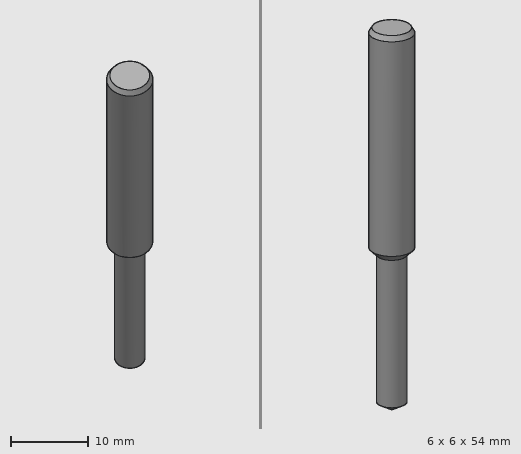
import cadquery as cq
import math

overall_length = 54.0
shank_diameter = 6.0
cutter_diameter = 4.0

shank_cylinder_end = 31.0
top_bevel_height = 0.7
top_bevel_width = 0.45
taper_angle = 45.0

point_angle = 118.0

shank_radius = shank_diameter / 2
cutter_radius = cutter_diameter / 2
taper_height = (shank_radius - cutter_radius) / math.tan(math.radians(taper_angle))
shank_length = shank_cylinder_end + taper_height
point_height = cutter_radius / math.tan(math.radians(point_angle / 2))


def revolve_profile(points):
    """Revolve a closed (radius, z) outline fully around the Z axis."""
    return cq.Workplane("XZ").polyline(points).close().revolve(360, (0, 0), (0, 1))


def make_shank():
    """Cylindrical shank, beveled on top and tapered down to the cutter diameter."""
    return revolve_profile([
        (0, 0),
        (shank_radius - top_bevel_width, 0),
        (shank_radius, -top_bevel_height),
        (shank_radius, -shank_cylinder_end),
        (cutter_radius, -shank_length),
        (0, -shank_length),
    ])


def make_cutter():
    """Plain round cutter that butts against the shank and ends in a conical point."""
    return revolve_profile([
        (0, -shank_length),
        (cutter_radius, -shank_length),
        (cutter_radius, point_height - overall_length),
        (0, -overall_length),
    ])


shank = make_shank()
cutter = make_cutter()

result = cq.Compound.makeCompound([shank.val(), cutter.val()])